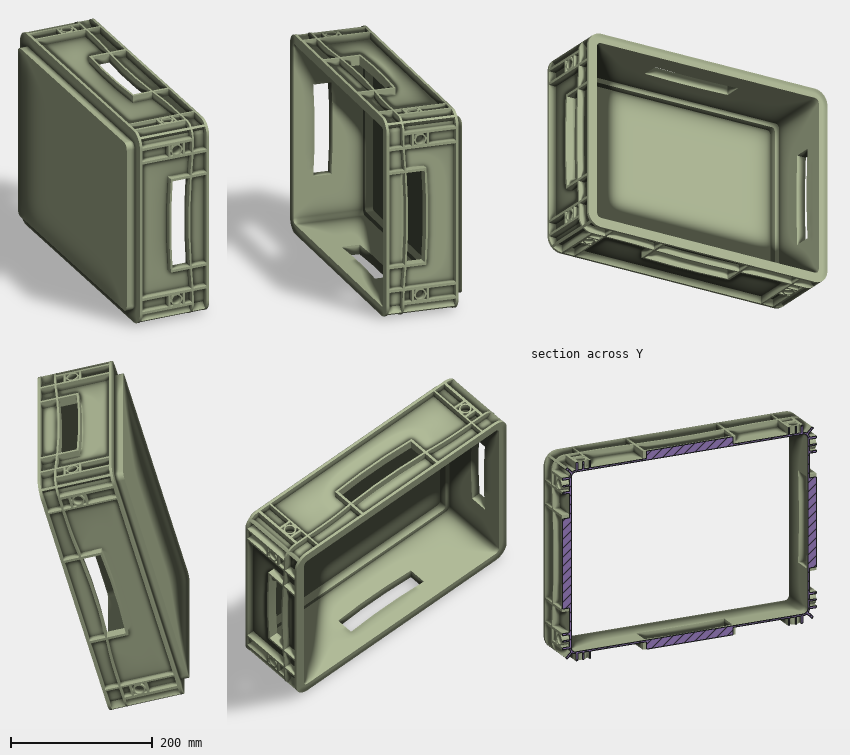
import cadquery as cq
import math


LENGTH = 399.0
DEPTH = 120.0
WIDTH = 299.0
CORNER_RADIUS = 21.0

PLINTH_HEIGHT = 12.0
PLINTH_INSET = 18.5
PLINTH_RADIUS = 8.8

RIB_DEPTH = 11.0
WALL = 3.0
RIM_THICKNESS = 4.0
DIAGONAL_THICKNESS = 3.5
ROOT_DEPTH = RIB_DEPTH + WALL

BELT_THICKNESS = 2.8
BELT_DROP = 24.0
BELT_SAG = 5.5
BELT_HALF_SPAN = 130.5
GRIP_RADIUS = 997.5
BELT_SLOPE = 2 * BELT_SAG / BELT_HALF_SPAN
BELT_JOIN = BELT_SLOPE * GRIP_RADIUS
FLARE_RADIUS = (BELT_HALF_SPAN - BELT_JOIN) / BELT_SLOPE

GRIP_HALF_WIDTH = 69.0
GRIP_HEIGHT = 27.0
GRIP_FRAME = 3.8
GRIP_SILL = 3.0

BOSS_DROP = 50.5
BOSS_INSET = 32.7
BOSS_RADIUS = 8.8
BOSS_WEB = 2.8
BOSS_SHOULDER = 9.5
BORE_RADIUS = 6.8
BOSS_CELL_HEIGHT = 19.0
BOSS_RIB = 3.0

LONG_SIDE_POSTS = [(21.0, 4.0), (42.3, 2.6)]
SHORT_SIDE_POSTS = [(20.0, 3.8), (41.0, 3.8)]

RIM_Y = DEPTH
BASE_Y = PLINTH_HEIGHT
BELT_Y = RIM_Y - BELT_DROP
BOSS_Y = RIM_Y - BOSS_DROP
GRIP_TOP_Y = BELT_Y - BELT_SAG - BELT_THICKNESS
GRIP_BOTTOM_Y = GRIP_TOP_Y - GRIP_HEIGHT


def rounded_block(inset, radius, y_low, y_high):
    """Block with rounded Y edges, inset from the crate outline."""
    height = y_high - y_low
    block = cq.Workplane("XY").box(LENGTH - 2 * inset, height, WIDTH - 2 * inset)
    return block.edges("|Y").fillet(radius).translate((0, (y_low + y_high) / 2, 0))


def side_plane(reach):
    """Plane of the wall root on the +Z side of a crate reaching this far from its centre."""
    return cq.Workplane("XY").workplane(offset=reach - ROOT_DEPTH)


def bar(reach, x_low, x_high, y_low, y_high):
    """Rectangular rib standing on the +Z side."""
    centre = ((x_low + x_high) / 2, (y_low + y_high) / 2)
    return side_plane(reach).center(*centre).rect(x_high - x_low, y_high - y_low).extrude(ROOT_DEPTH)


def grip_sag(x):
    """Rise of the grip arc above its lowest point."""
    return GRIP_RADIUS - math.sqrt(GRIP_RADIUS**2 - x**2)


def belt_curve(half_length, y):
    """Points of the belt edge: end, flare start, flare middle, join, bottom, and their mirror images."""
    join_y = y - BELT_SAG + grip_sag(BELT_JOIN)
    middle_x = (BELT_HALF_SPAN + BELT_JOIN) / 2
    flare_run = BELT_HALF_SPAN - middle_x
    middle_y = y - (FLARE_RADIUS - math.sqrt(FLARE_RADIUS**2 - flare_run**2))
    left = [
        (-half_length, y),
        (-BELT_HALF_SPAN, y),
        (-middle_x, middle_y),
        (-BELT_JOIN, join_y),
    ]
    right = [(-px, py) for px, py in reversed(left)]
    return left + [(0, y - BELT_SAG)] + right


def belt(reach, half_length):
    """Belt rib: straight ends, flaring down into the arc over the grip."""
    upper = belt_curve(half_length, BELT_Y)
    lower = belt_curve(half_length, BELT_Y - BELT_THICKNESS)[::-1]
    outline = side_plane(reach).moveTo(*lower[-1])
    for start, flare, flare_mid, join, bottom, far_join, far_mid, far_flare, end in (upper, lower):
        outline = (
            outline.lineTo(*start)
            .lineTo(*flare)
            .threePointArc(flare_mid, join)
            .threePointArc(bottom, far_join)
            .threePointArc(far_mid, far_flare)
            .lineTo(*end)
        )
    return outline.close().extrude(ROOT_DEPTH)


def grip_block(reach, half_width, y_bottom, y_top):
    """Block between two parallel grip arcs, given the lowest point of each."""
    rise = grip_sag(half_width)
    return (
        side_plane(reach)
        .moveTo(-half_width, y_top + rise)
        .threePointArc((0, y_top), (half_width, y_top + rise))
        .lineTo(half_width, y_bottom + rise)
        .threePointArc((0, y_bottom), (-half_width, y_bottom + rise))
        .close()
        .extrude(ROOT_DEPTH)
    )


def boss(reach, x_low, x_high, centre_x):
    """Bored screw boss webbed into a cell between two posts."""
    half_cell = BOSS_CELL_HEIGHT / 2
    half_block = half_cell + BOSS_RIB
    half_web = BOSS_WEB / 2
    half_shoulder = BOSS_SHOULDER / 2
    block = bar(reach, x_low, x_high, BOSS_Y - half_block, BOSS_Y + half_block)
    cell = bar(reach, x_low, x_high, BOSS_Y - half_cell, BOSS_Y + half_cell)
    web_x = (centre_x - half_web, centre_x + half_web)
    upright_web = bar(reach, *web_x, BOSS_Y - half_cell, BOSS_Y + half_cell)
    shoulder = bar(reach, x_low, x_high, BOSS_Y - half_shoulder, BOSS_Y + half_shoulder)
    tube = side_plane(reach).center(centre_x, BOSS_Y).circle(BOSS_RADIUS).extrude(ROOT_DEPTH)
    bore = side_plane(reach).center(centre_x, BOSS_Y).circle(BORE_RADIUS).extrude(ROOT_DEPTH)
    return block.cut(cell).union(upright_web).union(shoulder).union(tube).cut(bore)


def side_ribs(half_length, reach, posts):
    """All ribs of one side, built on +Z."""
    (corner_inset, corner_thickness), (field_inset, field_thickness) = posts
    corner_outer = half_length - corner_inset
    corner_inner = corner_outer - corner_thickness
    field_outer = half_length - field_inset
    field_inner = field_outer - field_thickness
    frame_half_width = GRIP_HALF_WIDTH + GRIP_FRAME
    belt_middle = BELT_Y - BELT_THICKNESS / 2

    half = bar(reach, corner_inner, corner_outer, BASE_Y, belt_middle)
    half = half.union(bar(reach, field_inner, field_outer, BASE_Y, RIM_Y))
    half = half.union(boss(reach, field_outer, corner_inner, half_length - BOSS_INSET))
    half = half.union(bar(reach, GRIP_HALF_WIDTH, frame_half_width, GRIP_TOP_Y, RIM_Y))

    frame = grip_block(reach, frame_half_width, GRIP_BOTTOM_Y - GRIP_SILL, GRIP_TOP_Y)
    return belt(reach, half_length).union(frame).union(half).union(half.mirror("YZ"))


def on_both_ends(solid):
    """The solid together with its copy turned half way round the Y axis."""
    return solid.union(solid.rotate((0, 0, 0), (0, 1, 0), 180))


def diagonal_rib(x_sign, z_sign):
    """Upright rib pointing out through the middle of a rounded corner."""
    rib = cq.Workplane("XY").box(2 * CORNER_RADIUS, RIM_Y - BASE_Y, DIAGONAL_THICKNESS)
    rib = rib.translate((CORNER_RADIUS, (RIM_Y + BASE_Y) / 2, 0))
    turn = math.degrees(math.atan2(-z_sign, x_sign))
    centre_x = x_sign * (LENGTH / 2 - CORNER_RADIUS)
    centre_z = z_sign * (WIDTH / 2 - CORNER_RADIUS)
    return rib.rotate((0, 0, 0), (0, 1, 0), turn).translate((centre_x, 0, centre_z))


body = rounded_block(RIB_DEPTH, CORNER_RADIUS - RIB_DEPTH, BASE_Y, RIM_Y)
body = body.union(rounded_block(0, CORNER_RADIUS, RIM_Y - RIM_THICKNESS, RIM_Y))
body = body.union(rounded_block(0, CORNER_RADIUS, BASE_Y, BASE_Y + RIM_THICKNESS))

ribs = on_both_ends(side_ribs(LENGTH / 2, WIDTH / 2, LONG_SIDE_POSTS))
short_ribs = side_ribs(WIDTH / 2, LENGTH / 2, SHORT_SIDE_POSTS).rotate((0, 0, 0), (0, 1, 0), 90)
ribs = ribs.union(on_both_ends(short_ribs))
for x_sign in (-1, 1):
    for z_sign in (-1, 1):
        ribs = ribs.union(diagonal_rib(x_sign, z_sign))
body = body.union(ribs.intersect(rounded_block(0, CORNER_RADIUS, BASE_Y, RIM_Y)))

body = body.union(rounded_block(PLINTH_INSET, PLINTH_RADIUS, 0, BASE_Y))

body = body.cut(rounded_block(ROOT_DEPTH, CORNER_RADIUS - ROOT_DEPTH, BASE_Y + WALL, RIM_Y))
body = body.cut(rounded_block(PLINTH_INSET + WALL, PLINTH_RADIUS - WALL, WALL, BASE_Y + WALL))

long_grip = grip_block(WIDTH / 2, GRIP_HALF_WIDTH, GRIP_BOTTOM_Y, GRIP_TOP_Y)
short_grip = grip_block(LENGTH / 2, GRIP_HALF_WIDTH, GRIP_BOTTOM_Y, GRIP_TOP_Y)
body = body.cut(on_both_ends(long_grip))
body = body.cut(on_both_ends(short_grip.rotate((0, 0, 0), (0, 1, 0), 90)))

result = body